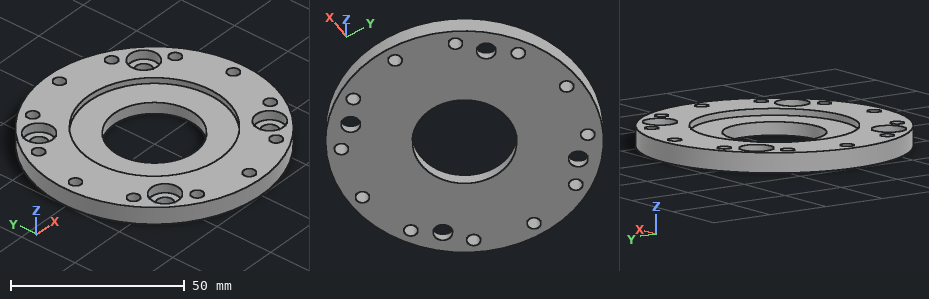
import cadquery as cq

plate_diameter = 80.0
plate_thickness = 6.0

bore_diameter = 30.0
recess_diameter = 49.0
recess_depth = 2.0

rim_hole_count = 12
rim_hole_diameter = 4.0
rim_hole_circle_radius = 35.5

screw_spacing = 47.1
screw_hole_diameter = 5.5
counterbore_diameter = 10.0
counterbore_depth = 3.2


def make_plate():
    """Round disc with its bottom face on Z = 0."""
    return cq.Workplane("XY").circle(plate_diameter / 2).extrude(plate_thickness)


def cut_central_opening(body):
    """Through bore with a wider, shallow recess in the top face."""
    return (
        body.faces(">Z")
        .workplane(origin=(0, 0, 0))
        .cboreHole(bore_diameter, recess_diameter, recess_depth)
    )


def cut_rim_holes(body):
    """Evenly spaced through holes, the first one on the +X axis."""
    return (
        body.faces(">Z")
        .workplane(origin=(0, 0, 0))
        .polarArray(rim_hole_circle_radius, 0, 360, rim_hole_count)
        .hole(rim_hole_diameter)
    )


def cut_screw_holes(body):
    """Four through holes counterbored from the top face."""
    return (
        body.faces(">Z")
        .workplane(origin=(0, 0, 0))
        .rarray(screw_spacing, screw_spacing, 2, 2)
        .cboreHole(screw_hole_diameter, counterbore_diameter, counterbore_depth)
    )


result = cut_screw_holes(cut_rim_holes(cut_central_opening(make_plate())))